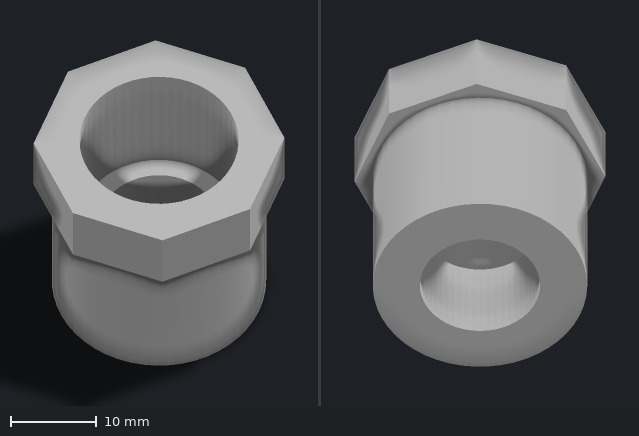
import cadquery as cq
import math

height = 27.0
across_flats = 27.0
collar_height = 8.0
spigot_diameter = 25.0

socket_diameter = 18.55
through_diameter = 14.0
socket_depth = 16.0

OCTAGON_SIDES = 8
spigot_height = height - collar_height
across_corners = across_flats / math.cos(math.pi / OCTAGON_SIDES)


def make_spigot():
    """Round lower body, standing on the XY plane."""
    return cq.Workplane("XY").circle(spigot_diameter / 2).extrude(spigot_height)


def make_collar():
    """Octagonal collar with its flats square to X and Y."""
    return (
        cq.Workplane("XY")
        .transformed(rotate=(0, 0, 180 / OCTAGON_SIDES), offset=(0, 0, spigot_height))
        .polygon(OCTAGON_SIDES, across_corners)
        .extrude(collar_height)
    )


body = make_spigot().union(make_collar())
result = body.faces(">Z").workplane(origin=(0, 0, height)).cboreHole(
    through_diameter, socket_diameter, socket_depth
)